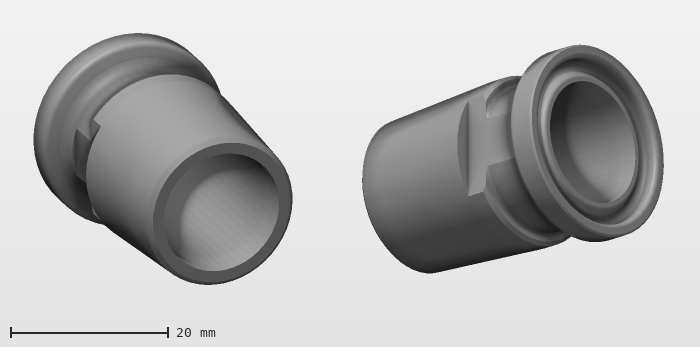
import cadquery as cq
import math

length = 32.0
bore_radius = 7.95

flange_diameter = 25.0
flange_radius = flange_diameter / 2
front_edge = 0.22
rim_end = 3.1
rim_round = 0.85
neck_round = 1.95
flange_angle = math.radians(70)
back_cone_length = 0.45

neck_radius = 9.55
neck_end = 10.55
collar_face = 11.0
collar_radius = 11.07
collar_chamfer = 0.48
taper_start = 13.9
taper_end_radius = 10.0
end_chamfer = 0.6

groove_outer_radius = 11.42
groove_lip_round = 0.58
groove_cone_outer_radius = 9.45
groove_cone_angle = math.radians(55)
inner_lip_round = 0.55
inner_land_radius = 8.45
land_recess = 0.9

flat_distance = 9.0
flat_start = 6.0
flat_end = 14.0


def on_circle(center, radius, angle):
    """Point on a circle; the angle is measured from +X toward the outer radius."""
    return (center[0] + radius * math.cos(angle), center[1] + radius * math.sin(angle))


def make_body():
    """Solid of revolution with flange, neck, collar and tapered end."""
    rim_center = (rim_end, flange_radius - rim_round)
    rim_exit_angle = math.pi / 2 - flange_angle
    cone_start = on_circle(rim_center, rim_round, rim_exit_angle)
    cone_end = (
        cone_start[0] + back_cone_length,
        cone_start[1] - back_cone_length * math.tan(flange_angle),
    )
    neck_center = (cone_end[0] + neck_round * math.sin(flange_angle), neck_radius + neck_round)
    neck_mid = on_circle(neck_center, neck_round, -math.pi / 2 - flange_angle / 2)
    neck_fillet = collar_face - neck_end
    fillet_center = (neck_end, neck_radius + neck_fillet)
    return (
        cq.Workplane("XZ")
        .moveTo(0, bore_radius)
        .lineTo(0, flange_radius - front_edge)
        .lineTo(front_edge, flange_radius)
        .lineTo(rim_end, flange_radius)
        .threePointArc(
            on_circle(rim_center, rim_round, (math.pi / 2 + rim_exit_angle) / 2), cone_start
        )
        .lineTo(*cone_end)
        .threePointArc(neck_mid, (neck_center[0], neck_radius))
        .lineTo(neck_end, neck_radius)
        .threePointArc(
            on_circle(fillet_center, neck_fillet, -math.pi / 4),
            (collar_face, neck_radius + neck_fillet),
        )
        .lineTo(collar_face, collar_radius - collar_chamfer)
        .lineTo(collar_face + collar_chamfer, collar_radius)
        .lineTo(taper_start, collar_radius)
        .lineTo(length - end_chamfer, taper_end_radius)
        .lineTo(length, taper_end_radius - end_chamfer)
        .lineTo(length, bore_radius)
        .close()
        .revolve(360, (0, 0, 0), (1, 0, 0))
    )


def make_gasket_groove():
    """Ring cut: rounded lip, straight wall, concave floor, cone and recessed land."""
    wall_radius = groove_outer_radius - groove_lip_round
    lip_center = (groove_lip_round, groove_outer_radius)
    inner_center = (land_recess + inner_lip_round, inner_land_radius)
    cone_inner = on_circle(inner_center, inner_lip_round, math.pi - groove_cone_angle)
    cone_rise = (groove_cone_outer_radius - cone_inner[1]) * math.tan(groove_cone_angle)
    cone_outer = (cone_inner[0] + cone_rise, groove_cone_outer_radius)
    floor_round = (wall_radius - groove_cone_outer_radius) / (1 + math.sin(groove_cone_angle))
    floor_center = (
        cone_outer[0] - floor_round * math.cos(groove_cone_angle),
        wall_radius - floor_round,
    )
    return (
        cq.Workplane("XZ")
        .moveTo(0, groove_outer_radius)
        .threePointArc(
            on_circle(lip_center, groove_lip_round, -math.pi * 3 / 4), (groove_lip_round, wall_radius)
        )
        .lineTo(floor_center[0], wall_radius)
        .threePointArc(on_circle(floor_center, floor_round, 0), cone_outer)
        .lineTo(*cone_inner)
        .threePointArc(
            on_circle(inner_center, inner_lip_round, math.pi - groove_cone_angle / 2),
            (land_recess, inner_land_radius),
        )
        .lineTo(land_recess, bore_radius)
        .lineTo(0, bore_radius)
        .close()
        .revolve(360, (0, 0, 0), (1, 0, 0))
    )


def make_flat_cutter(side):
    """Block outside the wrench flat on the given side of Y."""
    depth = flange_radius - flat_distance
    return (
        cq.Workplane("XY")
        .box(flat_end - flat_start, depth, 2 * flange_radius)
        .translate(((flat_start + flat_end) / 2, side * (flat_distance + depth / 2), 0))
    )


result = make_body().cut(make_gasket_groove())
for side in (-1, 1):
    result = result.cut(make_flat_cutter(side))